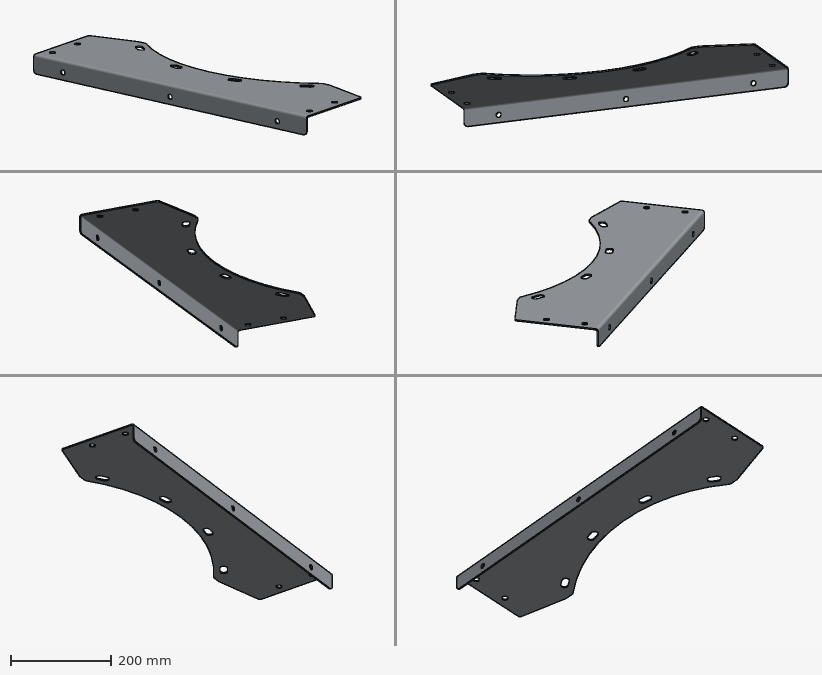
import cadquery as cq
import math

length = 700.0
depth = 203.0
height = 40.0
thickness = 3.0
bend_radius = 6.0
half_length = length / 2

side_depth = 175.0
slope = math.radians(15)
end_corner_radius = 5.0
peak_radius = 10.5
flange_corner_radius = 8.5

cutout_radius = 367.5
cutout_center_y = 493.0
slot_arc_radius = 388.0
slot_angles = (-33.5, -11.2, 11.2, 33.5)
slot_length = 28.0
slot_width = 15.0

plate_hole_diameter = 12.0
plate_hole_x = 330.0
plate_hole_rows = (35.0, 115.0)
flange_hole_diameter = 10.5
flange_hole_spacing = 275.0
flange_hole_z = -24.0


def bent_sheet():
    """L-shaped sheet with a rounded bend, running the full length."""
    block = (
        cq.Workplane("XY")
        .box(length, depth, height, centered=(True, False, False))
        .translate((0, 0, -height))
        .edges("<Y and >Z")
        .fillet(bend_radius)
    )
    inside = (
        cq.Workplane("XY")
        .box(length, depth, height, centered=(True, False, False))
        .translate((0, thickness, -height - thickness))
        .edges("<Y and >Z")
        .fillet(bend_radius - thickness)
    )
    return block.cut(inside)


def plate_outline():
    """Solid bounded by the sloped rear edges and the round cutout."""
    flat_start_x = half_length - (depth - side_depth) / math.tan(slope)
    cutout_end_x = math.sqrt(cutout_radius**2 - (cutout_center_y - depth) ** 2)
    outline = (
        cq.Workplane("XY")
        .workplane(offset=-height)
        .moveTo(-half_length, 0)
        .lineTo(half_length, 0)
        .lineTo(half_length, side_depth)
        .lineTo(flat_start_x, depth)
        .lineTo(cutout_end_x, depth)
        .threePointArc((0, cutout_center_y - cutout_radius), (-cutout_end_x, depth))
        .lineTo(-flat_start_x, depth)
        .lineTo(-half_length, side_depth)
        .close()
        .extrude(height)
    )
    ends = outline.edges("|Z and (<X or >X)").edges(">Y").fillet(end_corner_radius)
    return ends.edges("|Z").edges(">Y").fillet(peak_radius)


def plate_cutters():
    """Cutters for the round holes and the slots in the plate."""
    hole_centers = [(side * plate_hole_x, y) for side in (-1, 1) for y in plate_hole_rows]
    cutters = (
        cq.Workplane("XY")
        .pushPoints(hole_centers)
        .circle(plate_hole_diameter / 2)
        .extrude(-height)
    )
    for angle in slot_angles:
        slot = (
            cq.Workplane("XY")
            .center(0, -slot_arc_radius)
            .slot2D(slot_length, slot_width)
            .extrude(-height)
            .rotate((0, 0, 0), (0, 0, 1), angle)
            .translate((0, cutout_center_y, 0))
        )
        cutters = cutters.union(slot)
    return cutters


def flange_cutters():
    """Cutters for the row of holes in the flange."""
    hole_centers = [(i * flange_hole_spacing, flange_hole_z) for i in (-1, 0, 1)]
    return (
        cq.Workplane("XZ")
        .pushPoints(hole_centers)
        .circle(flange_hole_diameter / 2)
        .extrude(-bend_radius)
    )


result = bent_sheet().intersect(plate_outline())
result = result.edges("|Y and <Z").fillet(flange_corner_radius)
result = result.cut(plate_cutters()).cut(flange_cutters())